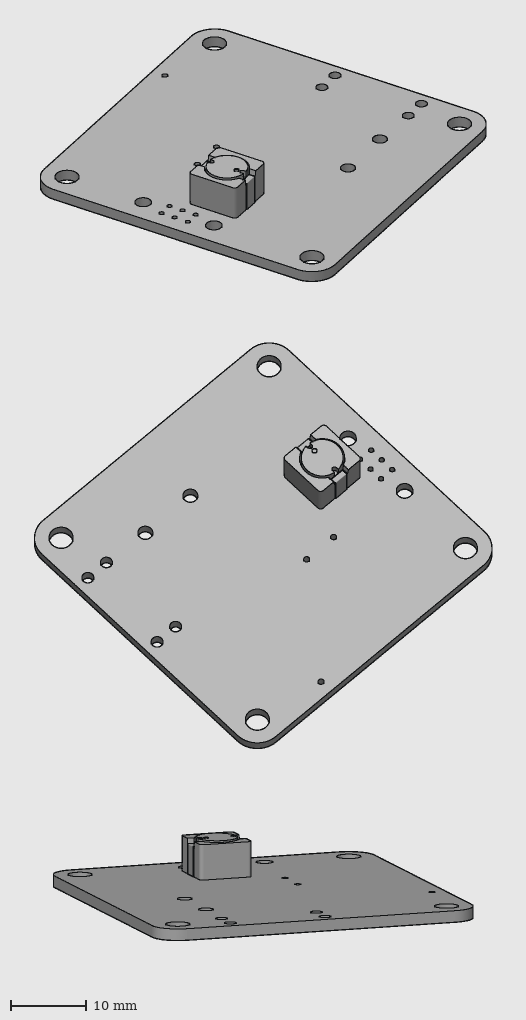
import cadquery as cq

BOARD_SIDE = 45.15
BOARD_THICKNESS = 1.6
BOARD_CORNER_RADIUS = 3.6

MOUNTING_HOLE_DIAMETER = 3.2
MOUNTING_HOLE_OFFSET = 19.0

LOCATING_HOLE_DIAMETER = 2.2
LOCATING_HOLE_POINTS = [(-7.15, -19.1), (3.85, -19.1)]

POWER_HOLE_DIAMETER = 2.0
POWER_HOLE_POINTS = [(11.87, 2.1), (11.87, 10.35)]

CONNECTOR_HOLE_DIAMETER = 1.6
CONNECTOR_HOLE_POINTS = [(x, y) for x in (-1.25, 12.15) for y in (17.2, 20.6)]

SMALL_HOLE_DIAMETER = 0.8
SMALL_HOLE_POINTS = [(-20.65, 8.9), (-5.8, -2.5), (-5.8, -7.4)]

HEADER_HOLE_DIAMETER = 0.68
HEADER_CENTRE = (-1.63, -19.1)
HEADER_PITCH = 2.05
HEADER_COLUMNS = 3
HEADER_ROWS = 2

INDUCTOR_CENTRE = (2.0, -12.65)
HOUSING_LENGTH = 7.3
HOUSING_WIDTH = 7.55
HOUSING_CLEARANCE = 0.15
HOUSING_TOP = 4.9
HOUSING_CORNER_RADIUS = 0.5
BORE_DIAMETER = 6.0
NOTCH_TOP_WIDTH = 2.7
NOTCH_FLOOR_WIDTH = 2.35
NOTCH_DEPTH = 0.85

CORE_DIAMETER = 5.55
CORE_HEIGHT = 5.1
CORE_SLOT_WIDTH = 0.68
CORE_SLOT_LENGTH = 0.7
CORE_SLOT_DEPTH = 1.0
MARK_DIAMETER = 0.68
MARK_OFFSET = 1.5
MARK_DEPTH = 0.15

TERMINAL_WIDTH = 2.08
TERMINAL_THICKNESS = 0.2
TERMINAL_BEND_RADIUS = 0.1
TERMINAL_PROTRUSION = 0.1
TERMINAL_TOP = HOUSING_TOP - NOTCH_DEPTH + TERMINAL_THICKNESS
TERMINAL_CORE_GAP = 0.05
TERMINAL_TIP = CORE_DIAMETER / 2 + TERMINAL_CORE_GAP
TERMINAL_REACH = HOUSING_LENGTH / 2 + TERMINAL_PROTRUSION


def on_board(body):
    """Move an inductor body from the origin to its place on the board."""
    return body.translate((*INDUCTOR_CENTRE, BOARD_THICKNESS))


def upright_cylinder(diameter, height):
    return cq.Workplane("XY").circle(diameter / 2).extrude(height)


def make_board():
    board = (
        cq.Workplane("XY")
        .rect(BOARD_SIDE, BOARD_SIDE)
        .extrude(BOARD_THICKNESS)
        .edges("|Z")
        .fillet(BOARD_CORNER_RADIUS)
    )
    mounting_points = [
        (x, y)
        for x in (-MOUNTING_HOLE_OFFSET, MOUNTING_HOLE_OFFSET)
        for y in (-MOUNTING_HOLE_OFFSET, MOUNTING_HOLE_OFFSET)
    ]
    header_points = [
        (
            HEADER_CENTRE[0] + (column - (HEADER_COLUMNS - 1) / 2) * HEADER_PITCH,
            HEADER_CENTRE[1] + (row - (HEADER_ROWS - 1) / 2) * HEADER_PITCH,
        )
        for column in range(HEADER_COLUMNS)
        for row in range(HEADER_ROWS)
    ]
    hole_groups = [
        (MOUNTING_HOLE_DIAMETER, mounting_points),
        (LOCATING_HOLE_DIAMETER, LOCATING_HOLE_POINTS),
        (POWER_HOLE_DIAMETER, POWER_HOLE_POINTS),
        (CONNECTOR_HOLE_DIAMETER, CONNECTOR_HOLE_POINTS),
        (SMALL_HOLE_DIAMETER, SMALL_HOLE_POINTS),
        (HEADER_HOLE_DIAMETER, header_points),
    ]
    for diameter, points in hole_groups:
        holes = cq.Workplane("XY").pushPoints(points).circle(diameter / 2).extrude(BOARD_THICKNESS)
        board = board.cut(holes)
    return board


def make_terminal(side):
    """Inverted-L clip at the -X (side = -1) or +X (side = 1) face, its tip just short of the core."""
    outer_x = side * TERMINAL_REACH
    inner_x = side * (TERMINAL_REACH - TERMINAL_THICKNESS)
    tip_x = side * TERMINAL_TIP
    terminal = (
        cq.Workplane("XZ")
        .moveTo(tip_x, TERMINAL_TOP)
        .lineTo(outer_x, TERMINAL_TOP)
        .lineTo(outer_x, HOUSING_CLEARANCE)
        .lineTo(inner_x, HOUSING_CLEARANCE)
        .lineTo(inner_x, TERMINAL_TOP - TERMINAL_THICKNESS)
        .lineTo(tip_x, TERMINAL_TOP - TERMINAL_THICKNESS)
        .close()
        .extrude(TERMINAL_WIDTH / 2, both=True)
    )
    outer_bend = cq.selectors.NearestToPointSelector((outer_x, 0, TERMINAL_TOP))
    return terminal.edges(outer_bend).fillet(TERMINAL_BEND_RADIUS)


def make_housing(terminals):
    """Square block with a bore, a flared top notch across both X sides and terminal seats."""
    housing = (
        cq.Workplane("XY")
        .workplane(offset=HOUSING_CLEARANCE)
        .rect(HOUSING_LENGTH, HOUSING_WIDTH)
        .extrude(HOUSING_TOP - HOUSING_CLEARANCE)
        .edges("|Z")
        .fillet(HOUSING_CORNER_RADIUS)
    )
    notch_floor = HOUSING_TOP - NOTCH_DEPTH
    notch = (
        cq.Workplane("YZ")
        .moveTo(-NOTCH_TOP_WIDTH / 2, HOUSING_TOP)
        .lineTo(-NOTCH_FLOOR_WIDTH / 2, notch_floor)
        .lineTo(NOTCH_FLOOR_WIDTH / 2, notch_floor)
        .lineTo(NOTCH_TOP_WIDTH / 2, HOUSING_TOP)
        .close()
        .extrude(HOUSING_LENGTH / 2, both=True)
    )
    housing = housing.cut(upright_cylinder(BORE_DIAMETER, HOUSING_TOP)).cut(notch)
    for terminal in terminals:
        housing = housing.cut(terminal)
    return housing


def make_core():
    """Round core with a round-ended wire slot at each X side and a mark dimple near the +X slot."""
    core = upright_cylinder(CORE_DIAMETER, CORE_HEIGHT)
    core_top = cq.Workplane("XY").workplane(offset=CORE_HEIGHT)
    slots = (
        core_top.pushPoints([(-CORE_DIAMETER / 2, 0), (CORE_DIAMETER / 2, 0)])
        .slot2D(2 * CORE_SLOT_LENGTH, CORE_SLOT_WIDTH)
        .extrude(-CORE_SLOT_DEPTH)
    )
    mark = core_top.center(MARK_OFFSET, 0).circle(MARK_DIAMETER / 2).extrude(-MARK_DEPTH)
    return core.cut(slots).cut(mark)


board = make_board()
terminals = [make_terminal(side) for side in (-1, 1)]
housing = make_housing(terminals)
core = make_core()

result = cq.Compound.makeCompound(
    [
        board.val(),
        on_board(housing).val(),
        on_board(core).val(),
        *[on_board(terminal).val() for terminal in terminals],
    ]
)